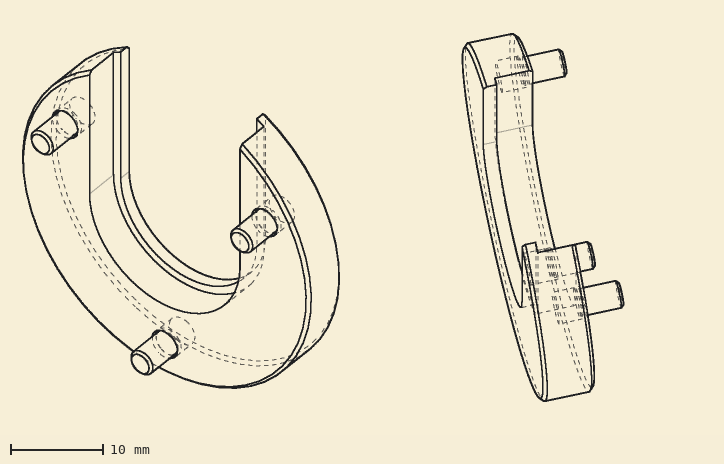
import cadquery as cq
import math

outer_diameter = 39.7
outer_radius = outer_diameter / 2
thickness = 5.7
rim_chamfer = 0.4

front_slot_width = 20.7
back_slot_width = 18.7
lip_thickness = 1.5

pin_diameter = 3.0
pin_protrusion = 4.3
pin_tip_chamfer = 0.3
pin_circle_radius = 15.85
pin_count = 3
first_pin_angle = 30.0
pin_root_diameter = 3.5
hole_depth = 3.0
shoulder_recess = 0.4
pin_shoulder = (pin_root_diameter - pin_diameter) / 2


def front_plane(y):
    """Workplane parallel to XZ at a given y, with its normal toward -Y."""
    return cq.Workplane("XZ", origin=(0, y, 0))


def pin_centres():
    """(x, z) of each pin, spaced evenly around the pin circle."""
    centres = []
    for index in range(pin_count):
        angle = math.radians(first_pin_angle + index * 360 / pin_count)
        centres.append((pin_circle_radius * math.cos(angle), pin_circle_radius * math.sin(angle)))
    return centres


def make_slot(width, depth):
    """U-shaped cutter from the front face back, round about the plate centre and open at the top."""
    half_width = width / 2
    return (
        front_plane(depth)
        .moveTo(-half_width, outer_radius)
        .lineTo(-half_width, 0)
        .threePointArc((0, -half_width), (half_width, 0))
        .lineTo(half_width, outer_radius)
        .close()
        .extrude(depth)
    )


def make_housing():
    """Horseshoe plate with chamfered rims, a stepped slot and the pin holes."""
    disc = front_plane(thickness).circle(outer_radius).extrude(thickness)
    disc = disc.faces("<Y or >Y").chamfer(rim_chamfer)
    front_slot = make_slot(front_slot_width, thickness - lip_thickness)
    back_slot = make_slot(back_slot_width, thickness)
    holes = front_plane(0).pushPoints(pin_centres()).circle(pin_root_diameter / 2).extrude(-hole_depth)
    return disc.cut(front_slot).cut(back_slot).cut(holes)


def make_pin(x, z):
    """Pin with a thick root, a 45 degree shoulder sunk in its hole and a chamfered tip."""
    root = (
        front_plane(hole_depth)
        .center(x, z)
        .circle(pin_root_diameter / 2)
        .extrude(hole_depth - shoulder_recess)
        .faces("<Y")
        .chamfer(pin_shoulder)
    )
    shank = (
        front_plane(shoulder_recess)
        .center(x, z)
        .circle(pin_diameter / 2)
        .extrude(shoulder_recess + pin_protrusion)
        .faces("<Y")
        .chamfer(pin_tip_chamfer)
    )
    return root.union(shank)


housing = make_housing()

pins = []
for pin_x, pin_z in pin_centres():
    pins.append(make_pin(pin_x, pin_z).val())

result = cq.Compound.makeCompound([housing.val(), *pins])